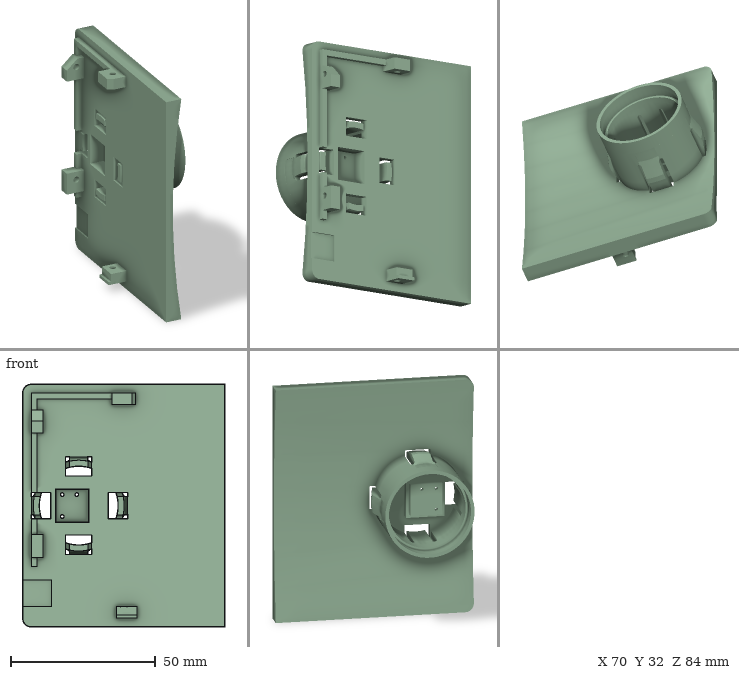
import cadquery as cq


panel_width = 70.0
panel_height = 84.0
corner_radius = 3.0
edge_depth = 5.9
middle_depth = 2.6
mid_height = panel_height / 2

margin = 3.0
rib_width = 2.0
rib_height = 2.0
rib_bottom = 21.0

lug_height = 6.7
lug_thickness = 4.0
lug_hole_diameter = 2.3
lug_hole_distance = 3.0
side_lug_length = 8.0
upper_lug_bottom = 67.1
upper_lug_hole_z = 72.0
upper_lug_slope_start = 2.6
upper_lug_slope_drop = 3.8
lower_lug_bottom = 24.0
lower_lug_hole_z = 29.0
top_lug_left = 31.0
top_lug_right = 39.0
top_lug_chamfer_x = 1.2
top_lug_chamfer_y = 2.0
bottom_lug_left = 32.5
bottom_lug_right = 39.6
bottom_lug_height = 6.0
lip_height = 7.0
lip_thickness = 1.2

recess_width = 9.9
recess_bottom = 7.05
recess_top = 16.3
recess_depth = 0.6

socket_x = 19.4
socket_end = 25.0
socket_diameter = 31.5
socket_bore = 27.2
ring_bore = 29.0
ring_length = 4.95
ring_start = socket_end - ring_length

tongue_root_radius = 15.6
tongue_peak_radius = 17.3
tongue_tip_radius = 15.7
tongue_slope_back = 16.0
tongue_peak_back = 9.2
tongue_peak_front = 7.2
tongue_tip = 0.0
tongue_half_width = 3.2
strip_half_width = 3.7
slit_width = 1.5
slit_end = 14.8

window_width = 9.0
window_inner = 10.25
window_length = 6.6
left_window_shift = socket_x - window_inner - window_length - margin

pocket_size = 11.6
pocket_x = 17.1
pocket_depth = 5.4
pocket_box_back = 5.6
pocket_wall = 1.0
pocket_back = 7.7
pocket_back_size = 11.25
pin_hole_diameter = 1.2
pin_hole_left = 13.7
pin_hole_right = 18.7
pin_hole_offset = 3.8

quarter_turns = (0, 90, 180, 270)


def block(x0, x1, y0, y1, z0, z1):
    """Box between two opposite corners."""
    return cq.Workplane("XY").box(x1 - x0, y1 - y0, z1 - z0, centered=False).translate((x0, y0, z0))


def rod(diameter, x, z, y0, y1):
    """Cylinder along Y between two depths."""
    start = cq.Workplane("XZ", origin=(x, y0, z))
    return start.circle(diameter / 2).extrude(y0 - y1)


def pocket_block(size, y0, y1):
    """Square block centred on the pocket."""
    half = size / 2
    return block(pocket_x - half, pocket_x + half, y0, y1, mid_height - half, mid_height + half)


def turned(shape, angle):
    """Shape turned about the socket axis."""
    return shape.rotate((socket_x, 0, mid_height), (socket_x, 1, mid_height), angle)


def make_window_cutters():
    """One rectangular window per tongue; the left one sits nearer to the socket axis."""
    cutters = cq.Workplane("XY")
    for angle in quarter_turns:
        inner = mid_height + window_inner
        window = block(socket_x - window_width / 2, socket_x + window_width / 2,
                       -rib_height, edge_depth, inner, inner + window_length)
        window = turned(window, angle)
        if window.val().Center().x < socket_x - window_inner:
            window = window.translate((-left_window_shift, 0, 0))
        cutters = cutters.add(window)
    return cutters.combine()


def make_pocket_cutter():
    """Square pocket from the front, with three pin holes through its floor."""
    cutter = pocket_block(pocket_size, 0, pocket_depth)
    for x, side in ((pin_hole_left, 1), (pin_hole_right, 1), (pin_hole_left, -1)):
        cutter = cutter.union(rod(pin_hole_diameter, x, mid_height + side * pin_hole_offset, 0, pocket_back))
    return cutter


def make_side_lug(bottom, hole_z):
    """Lug at the left rib with a hole along X."""
    right = margin + lug_thickness
    lug = block(margin, right, -lug_height, 0, bottom, bottom + side_lug_length)
    hole = cq.Workplane("YZ", origin=(0, -lug_hole_distance, hole_z)).circle(lug_hole_diameter / 2)
    return lug.cut(hole.extrude(right))


def make_upper_lug():
    """Side lug with its upper front corner cut off at a slope."""
    top = upper_lug_bottom + side_lug_length
    slope = (
        cq.Workplane("YZ")
        .moveTo(-upper_lug_slope_start, top)
        .lineTo(-lug_height, top)
        .lineTo(-lug_height, top - upper_lug_slope_drop)
        .close()
        .extrude(panel_width)
    )
    return make_side_lug(upper_lug_bottom, upper_lug_hole_z).cut(slope)


def make_vertical_hole(z0, z1):
    """Cutter for the hole along Z in the top and bottom lugs."""
    start = cq.Workplane("XY", origin=(panel_width / 2, -lug_hole_distance, z0))
    return start.circle(lug_hole_diameter / 2).extrude(z1 - z0)


def make_top_lug():
    """Lug at the end of the top rib, with its right front corner chamfered."""
    top = panel_height - margin
    lug = (
        cq.Workplane("XY", origin=(0, 0, top - lug_thickness))
        .moveTo(top_lug_left, 0)
        .lineTo(top_lug_right, 0)
        .lineTo(top_lug_right, -lug_height + top_lug_chamfer_y)
        .lineTo(top_lug_right - top_lug_chamfer_x, -lug_height)
        .lineTo(top_lug_left, -lug_height)
        .close()
        .extrude(lug_thickness)
    )
    return lug.cut(make_vertical_hole(top - lug_thickness, top))


def make_bottom_lug():
    """Lug near the bottom edge, with a lip along its lower front edge."""
    top = margin + lug_thickness
    lug = block(bottom_lug_left, bottom_lug_right, -bottom_lug_height, 0, margin, top)
    lip = block(bottom_lug_left, bottom_lug_right, -lip_height, 0, margin, margin + lip_thickness)
    return lug.union(lip).cut(make_vertical_hole(margin, top))


def make_arched_plate():
    """Plate whose back is an arc over its height, rounded at its two left corners."""
    arch = (
        cq.Workplane("YZ")
        .lineTo(edge_depth, 0)
        .threePointArc((middle_depth, mid_height), (edge_depth, panel_height))
        .lineTo(0, panel_height)
        .close()
        .extrude(panel_width)
    )
    outline = block(0, panel_width, 0, edge_depth, 0, panel_height)
    return outline.edges("|Y and <X").fillet(corner_radius).intersect(arch)


def make_panel():
    """Arched plate with ribs, lugs, tongue windows, edge recess and a boxed pocket."""
    rib_top = panel_height - margin
    panel = make_arched_plate()
    panel = panel.union(block(margin, margin + rib_width, -rib_height, 0, rib_bottom, rib_top))
    panel = panel.union(block(margin, top_lug_left, -rib_height, 0, rib_top - rib_width, rib_top))
    for lug in (make_upper_lug(), make_side_lug(lower_lug_bottom, lower_lug_hole_z),
                make_top_lug(), make_bottom_lug()):
        panel = panel.union(lug)
    panel = panel.union(pocket_block(pocket_size + 2 * pocket_wall, 0, pocket_box_back))
    panel = panel.union(pocket_block(pocket_back_size, 0, pocket_back))
    panel = panel.cut(block(0, recess_width, 0, recess_depth, recess_bottom, recess_top))
    return panel.cut(make_window_cutters()).cut(make_pocket_cutter())


def make_tongue_profile():
    """Turned solid whose outer surface is that of the tongues."""
    return (
        cq.Workplane("XY")
        .moveTo(socket_bore / 2, tongue_tip)
        .lineTo(tongue_tip_radius, tongue_tip)
        .lineTo(tongue_peak_radius, tongue_peak_front)
        .lineTo(tongue_peak_radius, tongue_peak_back)
        .lineTo(tongue_root_radius, tongue_slope_back)
        .lineTo(tongue_root_radius, ring_start)
        .lineTo(socket_bore / 2, ring_start)
        .close()
        .revolve(360, (0, 0, 0), (0, 1, 0))
        .translate((socket_x, 0, mid_height))
    )


def make_strip():
    """Radial block that holds one tongue and its root, from the front up to the ring."""
    left = socket_x - strip_half_width
    right = socket_x + strip_half_width
    return block(left, right, 0, ring_start, mid_height, mid_height + socket_diameter)


def make_slits():
    """Two round-ended slits beside one tongue."""
    slits = cq.Workplane("XY")
    radius = slit_width / 2
    outer = mid_height + socket_diameter
    for side in (-1, 1):
        x = socket_x + side * (tongue_half_width + radius)
        slit = block(x - radius, x + radius, 0, slit_end - radius, mid_height, outer)
        end = cq.Workplane("XY", origin=(x, slit_end - radius, mid_height)).circle(radius)
        slits = slits.add(slit.union(end.extrude(socket_diameter)))
    return slits.combine()


def make_socket():
    """Tube standing on the arched back of the panel, with four spring tongues."""
    tube = rod(socket_diameter, socket_x, mid_height, 0, ring_start)
    tube = tube.cut(rod(socket_bore, socket_x, mid_height, 0, ring_start))
    strips = [turned(make_strip(), angle) for angle in quarter_turns]
    for strip in strips:
        tube = tube.cut(strip)
    tube = tube.cut(make_arched_plate())
    profile = make_tongue_profile()
    for strip in strips:
        tube = tube.union(profile.intersect(strip))
    for angle in quarter_turns:
        tube = tube.cut(turned(make_slits(), angle))
    return tube


def make_ring():
    """Thin-walled open ring on the end of the tube."""
    ring = rod(socket_diameter, socket_x, mid_height, ring_start, socket_end)
    return ring.cut(rod(ring_bore, socket_x, mid_height, ring_start, socket_end))


panel = make_panel()
socket = make_socket()
ring = make_ring()

result = cq.Compound.makeCompound([panel.solids().val(), socket.solids().val(), ring.solids().val()])